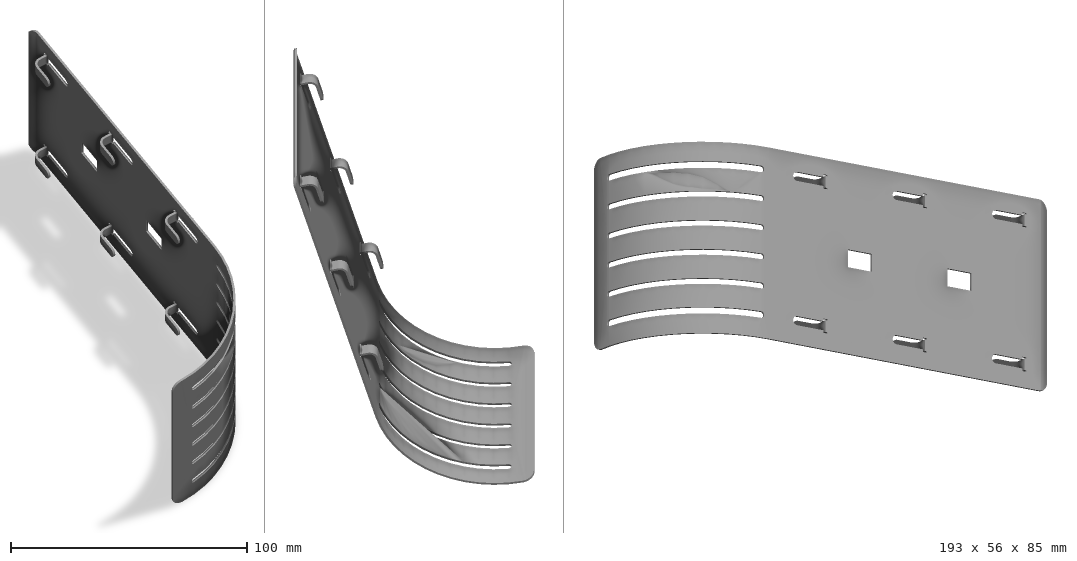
import cadquery as cq
import math

LENGTH = 193.0
DEPTH = 56.0
HEIGHT = 85.0
SHEET = 1.0
CORNER_RADIUS = 5.0

BEND_START_X = 140.7
OUTER_RADIUS = LENGTH - BEND_START_X
INNER_RADIUS = OUTER_RADIUS - SHEET

LIP_LENGTH = 4.0
LIP_BEND_RADIUS = 1.0
LIP_ANGLE = math.radians(20)
LIP_DROP = LIP_LENGTH * math.tan(LIP_ANGLE)
LIP_INNER_LENGTH = LIP_LENGTH + SHEET * math.tan(LIP_ANGLE / 2)

SLOT_COUNT = 6
SLOT_PITCH = 13.0
INNER_SLOT_WIDTH = 2.5
END_SLOT_WIDTH = 2.9
SLOT_START_ANGLE = 2.6
SLOT_END_ANGLE = 83.3

HOOK_PITCH_X = 50.0
HOOK_COLUMNS = 3
HOOK_START_X = 11.4
HOOK_Z = 32.0
HOOK_LENGTH = 12.7
HOOK_REACH = 8.0
HOOK_WIDTH = 5.2
HOOK_BEND_RADIUS = 3.7
HOOK_TIP_RADIUS = 2.3
ROOT_WIDTH = 6.4
ROOT_SIZE = 0.5
NOTCH_LENGTH = 2.0
HOOK_SLOT_WIDTH = 4.0
HOOK_SLOT_LENGTH = 17.2

WINDOW_LENGTH = 12.0
WINDOW_HEIGHT = 8.0
FIRST_WINDOW_X = 45.0
WINDOW_COUNT = 2


def bend_point(radius, angle):
    """Point on the curl, with the angle in degrees from the start of the bend."""
    turn = math.radians(angle)
    return (BEND_START_X + radius * math.sin(turn), -OUTER_RADIUS + radius * math.cos(turn))


def slot_z(index):
    """Height of a curl slot, counted from the lowest one."""
    return (index - (SLOT_COUNT - 1) / 2) * SLOT_PITCH


def slot_width(index):
    return END_SLOT_WIDTH if index in (0, SLOT_COUNT - 1) else INNER_SLOT_WIDTH


def make_sheet():
    """Lip, flat plate, quarter bend and flange as one extruded strip."""
    strip = (
        cq.Workplane("XY", origin=(0, 0, -HEIGHT / 2))
        .moveTo(0, -LIP_DROP)
        .lineTo(LIP_LENGTH, 0)
        .lineTo(BEND_START_X, 0)
        .threePointArc(bend_point(OUTER_RADIUS, 45), bend_point(OUTER_RADIUS, 90))
        .lineTo(LENGTH, -DEPTH)
        .lineTo(LENGTH - SHEET, -DEPTH)
        .lineTo(*bend_point(INNER_RADIUS, 90))
        .threePointArc(bend_point(INNER_RADIUS, 45), bend_point(INNER_RADIUS, 0))
        .lineTo(LIP_INNER_LENGTH, -SHEET)
        .lineTo(SHEET * math.sin(LIP_ANGLE), -LIP_DROP - SHEET * math.cos(LIP_ANGLE))
        .close()
        .extrude(HEIGHT)
        .edges(cq.selectors.NearestToPointSelector((LIP_INNER_LENGTH, -SHEET, 0)))
        .fillet(LIP_BEND_RADIUS)
        .edges(cq.selectors.NearestToPointSelector((LIP_LENGTH, 0, 0)))
        .fillet(LIP_BEND_RADIUS + SHEET)
    )
    lip_outline = (
        cq.Workplane("XZ")
        .rect(2 * LENGTH, HEIGHT)
        .extrude(DEPTH)
        .translate((LENGTH, 0, 0))
        .edges("|Y and <X")
        .fillet(CORNER_RADIUS)
    )
    flange_outline = (
        cq.Workplane("YZ")
        .rect(2 * DEPTH, HEIGHT)
        .extrude(LENGTH)
        .edges("|X and <Y")
        .fillet(CORNER_RADIUS)
    )
    return strip.intersect(lip_outline).intersect(flange_outline)


def make_curl_slot(index):
    """Cutter for one slot around the curl, with round ends."""
    width = slot_width(index)
    end_margin = math.degrees(width / 2 / INNER_RADIUS)
    first = SLOT_START_ANGLE + end_margin
    last = SLOT_END_ANGLE - end_margin
    middle = (first + last) / 2
    near = INNER_RADIUS - SHEET
    far = OUTER_RADIUS + SHEET
    cutter = (
        cq.Workplane("XY", origin=(0, 0, slot_z(index) + width / 2))
        .moveTo(*bend_point(near, first))
        .threePointArc(bend_point(near, middle), bend_point(near, last))
        .lineTo(*bend_point(far, last))
        .threePointArc(bend_point(far, middle), bend_point(far, first))
        .close()
        .extrude(-width)
    )
    for angle in (first, last):
        turn = math.radians(angle)
        base = cq.Vector(*bend_point(near, angle), slot_z(index))
        outward = cq.Vector(math.sin(turn), math.cos(turn), 0)
        cutter = cutter.union(cq.Workplane(cq.Solid.makeCylinder(width / 2, far - near, base, outward)))
    return cutter


def make_hook(x, z):
    """L-shaped hook with a rounded tip, and a small bar where its outer side meets the plate."""
    inner_corner = (x + SHEET, -HOOK_REACH + SHEET, z)
    hook = (
        cq.Workplane("XY", origin=(x, 0, z - HOOK_WIDTH / 2))
        .moveTo(0, 0)
        .lineTo(0, -HOOK_REACH)
        .lineTo(HOOK_LENGTH, -HOOK_REACH)
        .lineTo(HOOK_LENGTH, -HOOK_REACH + SHEET)
        .lineTo(SHEET, -HOOK_REACH + SHEET)
        .lineTo(SHEET, 0)
        .close()
        .extrude(HOOK_WIDTH)
        .edges("|Z and <X and <Y")
        .fillet(HOOK_BEND_RADIUS)
        .edges(cq.selectors.NearestToPointSelector(inner_corner))
        .fillet(HOOK_BEND_RADIUS - SHEET)
        .edges("|Y and >X")
        .fillet(HOOK_TIP_RADIUS)
    )
    root = (
        cq.Workplane("XY")
        .box(ROOT_SIZE, SHEET + ROOT_SIZE, ROOT_WIDTH, centered=(False, False, True))
        .translate((x - ROOT_SIZE, -SHEET - ROOT_SIZE, z))
    )
    return hook.union(root)


def make_hook_slot(x, z):
    """Cutter for the plate slot behind a hook: a wider notch at the root and a round far end."""
    radius = HOOK_SLOT_WIDTH / 2
    notch_half = ROOT_WIDTH / 2
    notch_x = x + NOTCH_LENGTH
    arc_x = x + HOOK_SLOT_LENGTH - radius
    return (
        cq.Workplane("XZ")
        .moveTo(x, z - notch_half)
        .lineTo(notch_x, z - notch_half)
        .lineTo(notch_x, z - radius)
        .lineTo(arc_x, z - radius)
        .threePointArc((arc_x + radius, z), (arc_x, z + radius))
        .lineTo(notch_x, z + radius)
        .lineTo(notch_x, z + notch_half)
        .lineTo(x, z + notch_half)
        .close()
        .extrude(2 * SHEET, both=True)
    )


result = make_sheet()

for slot in range(SLOT_COUNT):
    result = result.cut(make_curl_slot(slot))

for window in range(WINDOW_COUNT):
    opening = cq.Workplane("XY").box(WINDOW_LENGTH, 4 * SHEET, WINDOW_HEIGHT)
    result = result.cut(opening.translate((FIRST_WINDOW_X + window * HOOK_PITCH_X, 0, 0)))

for column in range(HOOK_COLUMNS):
    hook_x = HOOK_START_X + column * HOOK_PITCH_X
    for hook_z in (-HOOK_Z, HOOK_Z):
        result = result.cut(make_hook_slot(hook_x, hook_z))
        result = result.union(make_hook(hook_x, hook_z))